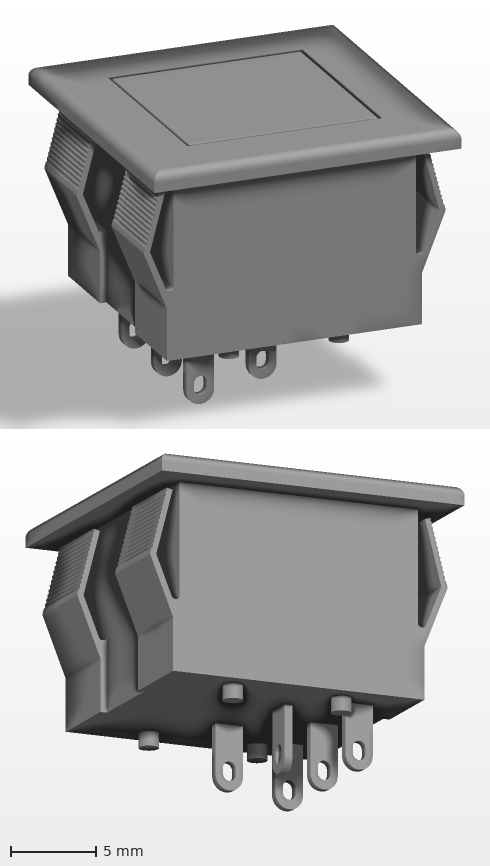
import cadquery as cq
import math


BEZEL_WIDTH = 19.5
TOTAL_HEIGHT = 16.7

BEZEL_THICKNESS = 1.19
BEZEL_FILLET = 0.58
BUTTON_WIDTH = 12.17
BUTTON_GAP = 0.1
BUTTON_FILLET = 0.23

BODY_WIDTH = 15.39
BODY_DEPTH = 11.5

CLIP_WIDTH = 5.0
PAD_THICKNESS = 0.4
LEAF_THICKNESS = 0.39
CLIP_TIP_Z = -0.4
CLIP_ELBOW_Z = -4.55
CLIP_ROOT_Z = -8.25
CLIP_ELBOW_FILLET = 0.25
UPPER_LEAF_ANGLE = math.radians(14.7)
LOWER_LEAF_ANGLE = math.radians(22)
SLOT_BOTTOM_Z = -7.12
SLOT_FILLET = 0.2

TOOTH_COUNT = 13
TOOTHED_HEIGHT = 3.78
TOOTH_UNDERCUT_HEIGHT = 0.165
TOOTH_UNDERCUT_ANGLE = math.radians(9)

BLADE_WIDTH = 1.75
BLADE_THICKNESS = 0.5
EYE_WIDTH = 0.8
EYE_LENGTH = 1.17
EYE_CENTRE_Z = -14.33
TERMINAL_PITCH = 2.5
TURNED_BLADE_Y = -1.29

PEG_DIAMETER = 1.2
PEG_LENGTH = 0.9
PEG_SPACING_X = 12.01
PEG_SPACING_Y = 6.98

BLADE_TIP_Z = BEZEL_THICKNESS - TOTAL_HEIGHT
BODY_SIDE = BODY_WIDTH / 2
PAD_SIDE = BODY_SIDE + PAD_THICKNESS
TOOTH_PITCH = TOOTHED_HEIGHT / TOOTH_COUNT


def make_bezel():
    """Frame with a rounded top rim and a button set flush in its opening."""
    opening = BUTTON_WIDTH + 2 * BUTTON_GAP
    frame = (
        cq.Workplane("XY")
        .rect(BEZEL_WIDTH, BEZEL_WIDTH)
        .extrude(BEZEL_THICKNESS)
        .faces(">Z")
        .edges()
        .fillet(BEZEL_FILLET)
        .cut(cq.Workplane("XY").rect(opening, opening).extrude(BEZEL_THICKNESS))
    )
    button = (
        cq.Workplane("XY")
        .rect(BUTTON_WIDTH, BUTTON_WIDTH)
        .extrude(BEZEL_THICKNESS)
        .edges("|Z or >Z")
        .fillet(BUTTON_FILLET)
    )
    return frame.union(button)


def make_body():
    return cq.Workplane("XY").rect(BODY_WIDTH, BODY_WIDTH).extrude(-BODY_DEPTH)


def tooth_points(tip_y):
    """Saw-tooth outline from the clip tip downwards, as (y, z) points."""
    undercut = TOOTH_UNDERCUT_HEIGHT * math.tan(TOOTH_UNDERCUT_ANGLE)
    points = []
    for tooth in range(TOOTH_COUNT):
        drop = tooth * TOOTH_PITCH
        crest_y = tip_y + drop * math.tan(UPPER_LEAF_ANGLE)
        crest_z = CLIP_TIP_Z - drop
        points.append((crest_y, crest_z))
        points.append((crest_y - undercut, crest_z - TOOTH_UNDERCUT_HEIGHT))
    last_y = tip_y + TOOTHED_HEIGHT * math.tan(UPPER_LEAF_ANGLE)
    points.append((last_y, CLIP_TIP_Z - TOOTHED_HEIGHT))
    return points


def make_clip():
    """Bent spring leaf and its pad, on the +Y face and centred on X = 0."""
    upper_slope = math.tan(UPPER_LEAF_ANGLE)
    lower_slope = math.tan(LOWER_LEAF_ANGLE)
    elbow_y = PAD_SIDE + (CLIP_ELBOW_Z - CLIP_ROOT_Z) * lower_slope
    tip_y = elbow_y - (CLIP_TIP_Z - CLIP_ELBOW_Z) * upper_slope

    bisector = (LOWER_LEAF_ANGLE - UPPER_LEAF_ANGLE) / 2
    half_bend = (LOWER_LEAF_ANGLE + UPPER_LEAF_ANGLE) / 2
    elbow_offset = LEAF_THICKNESS / math.cos(half_bend)
    inner_elbow = (
        elbow_y - elbow_offset * math.cos(bisector),
        CLIP_ELBOW_Z + elbow_offset * math.sin(bisector),
    )
    inner_tip = (
        tip_y - LEAF_THICKNESS * math.cos(UPPER_LEAF_ANGLE),
        CLIP_TIP_Z - LEAF_THICKNESS * math.sin(UPPER_LEAF_ANGLE),
    )
    slot_corner_y = inner_elbow[0] - (inner_elbow[1] - SLOT_BOTTOM_Z) * lower_slope

    outline = tooth_points(tip_y) + [
        (elbow_y, CLIP_ELBOW_Z),
        (PAD_SIDE, CLIP_ROOT_Z),
        (PAD_SIDE, -BODY_DEPTH),
        (BODY_SIDE - PAD_THICKNESS, -BODY_DEPTH),
        (BODY_SIDE - PAD_THICKNESS, SLOT_BOTTOM_Z + PAD_THICKNESS),
        (BODY_SIDE, SLOT_BOTTOM_Z + PAD_THICKNESS),
        (BODY_SIDE, SLOT_BOTTOM_Z),
        (slot_corner_y, SLOT_BOTTOM_Z),
        inner_elbow,
        inner_tip,
    ]
    clip = cq.Workplane("YZ").polyline(outline).close().extrude(CLIP_WIDTH / 2, both=True)
    elbow = cq.selectors.NearestToPointSelector((0, elbow_y, CLIP_ELBOW_Z))
    clip = clip.edges(elbow).fillet(CLIP_ELBOW_FILLET)
    for corner_y in (BODY_SIDE, slot_corner_y):
        corner = cq.selectors.NearestToPointSelector((0, corner_y, SLOT_BOTTOM_Z))
        clip = clip.edges(corner).fillet(SLOT_FILLET)
    return clip


def make_blade():
    """Terminal blade with a round end and an oblong eye, thin along X."""
    end_radius = BLADE_WIDTH / 2
    end_centre_z = BLADE_TIP_Z + end_radius
    blade = (
        cq.Workplane("YZ")
        .moveTo(-end_radius, -BODY_DEPTH)
        .lineTo(-end_radius, end_centre_z)
        .threePointArc((0, BLADE_TIP_Z), (end_radius, end_centre_z))
        .lineTo(end_radius, -BODY_DEPTH)
        .close()
        .extrude(BLADE_THICKNESS / 2, both=True)
    )
    eye = (
        cq.Workplane("YZ")
        .center(0, EYE_CENTRE_Z)
        .slot2D(EYE_LENGTH, EYE_WIDTH, 90)
        .extrude(BLADE_THICKNESS, both=True)
    )
    return blade.cut(eye)


def make_pegs():
    return (
        cq.Workplane("XY")
        .workplane(offset=-BODY_DEPTH)
        .rarray(PEG_SPACING_X, PEG_SPACING_Y, 2, 2)
        .circle(PEG_DIAMETER / 2)
        .extrude(-PEG_LENGTH)
    )


result = make_bezel().union(make_body()).union(make_pegs())

clip = make_clip()
clip_x = (BODY_WIDTH - CLIP_WIDTH) / 2
for x in (-clip_x, clip_x):
    placed_clip = clip.translate((x, 0, 0))
    result = result.union(placed_clip).union(placed_clip.mirror("XZ"))

blade = make_blade()
row_y = -2 * TERMINAL_PITCH
for x, y in (
    (-2 * TERMINAL_PITCH, row_y),
    (0, row_y),
    (2 * TERMINAL_PITCH, row_y),
    (TERMINAL_PITCH, 0),
):
    result = result.union(blade.translate((x, y, 0)))
turned_blade = blade.rotate((0, 0, 0), (0, 0, 1), 90)
result = result.union(turned_blade.translate((-TERMINAL_PITCH, TURNED_BLADE_Y, 0)))